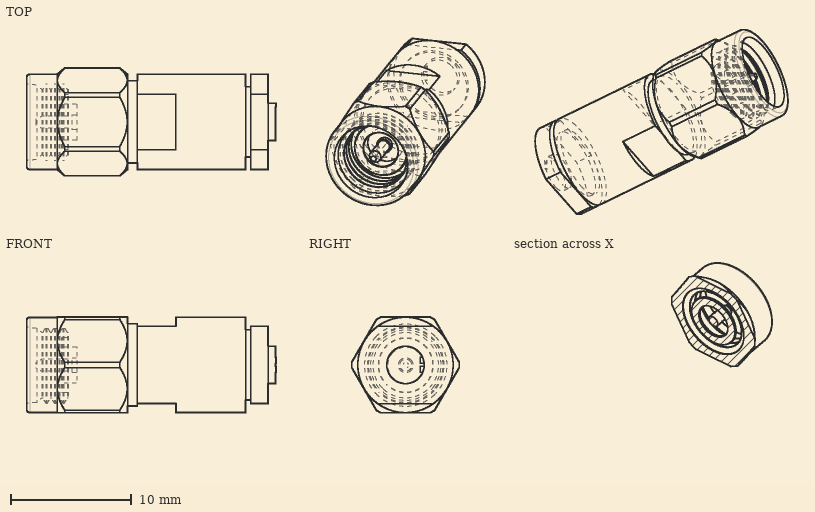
import cadquery as cq
import math

lip_fillet = 0.27
hex_start = 2.52
hex_end = 8.35
body_start = 9.15
wrench_flat_end = 12.35
body_end = 18.1
collar_start = 18.52
collar_end = 19.97
cable_end = 20.59
overall_length = 20.65

pad_inner_edge = 1.24
pad_gap = 0.25
pad_width = 0.5

hex_across_flats = 7.93
hex_across_corners = 8.92
hex_chamfer_length = 0.65
barrel_radius = 3.95
neck_radius = 3.4
groove_radius = 2.91
cable_radius = 1.55
flat_half_height = 3.2

mouth_radius = 3.15
mouth_taper_radius = 3.08
mouth_taper_end = 0.85
thread_start = 1.24
thread_pitch = 0.7
thread_turns = 3
thread_crest_radius = 2.7
thread_crest_width = 0.08
thread_depth = 0.45
thread_flank_angle = 30
socket_floor = thread_start + thread_turns * thread_pitch + thread_crest_width

tube_front = 2.85
tube_outer_radius = 2.27
tube_inner_radius = 1.49
tube_edge_chamfer = 0.05
tube_floor = 4.13

pin_tip_start = 0.75
pin_tip_end = 1.24
pin_tip_radius = 0.23
pin_radius = 0.5
pin_base_radius = 0.61
pin_base_start = 3.72


def turned(points):
    """Solid of revolution about X from an outline of (x, radius) points."""
    return cq.Workplane("XY").polyline(points).close().revolve(360, (0, 0, 0), (1, 0, 0))


def cylinder(start, end, radius):
    return turned([(start, 0), (end, 0), (end, radius), (start, radius)])


def coupling_nut():
    barrel = cylinder(0, hex_end, barrel_radius).faces("<X").edges().fillet(lip_fillet)
    hexagon = (
        cq.Workplane("YZ", origin=(hex_start, 0, 0))
        .polygon(6, hex_across_flats / math.cos(math.pi / 6))
        .extrude(hex_end - hex_start)
    )
    corner_radius = hex_across_corners / 2
    corner_trim = turned([
        (hex_start, 0),
        (hex_start, barrel_radius),
        (hex_start + hex_chamfer_length, corner_radius),
        (hex_end - hex_chamfer_length, corner_radius),
        (hex_end, barrel_radius),
        (hex_end, 0),
    ])
    return barrel.union(hexagon.intersect(corner_trim))


def flatted_cylinder(start, end, flat_end):
    """Cylinder with two flats, above and below, reaching from its start to flat_end."""
    solid = cylinder(start, end, barrel_radius)
    cutter_depth = barrel_radius - flat_half_height
    cutter_centre = flat_half_height + cutter_depth / 2
    cutter = cq.Workplane("XY").box(
        flat_end - start, 2 * barrel_radius, cutter_depth, centered=(False, True, True)
    )
    for side in (1, -1):
        solid = solid.cut(cutter.translate((start, 0, side * cutter_centre)))
    return solid


def socket():
    """Hollow in the mouth of the nut, with its thread modelled as parallel grooves."""
    flank_length = thread_depth * math.tan(math.radians(thread_flank_angle))
    root_radius = thread_crest_radius + thread_depth
    outline = [
        (0, 0),
        (0, mouth_radius),
        (mouth_taper_end, mouth_taper_radius),
        (thread_start, thread_crest_radius),
    ]
    for turn in range(thread_turns):
        groove_start = thread_start + turn * thread_pitch + thread_crest_width
        groove_end = thread_start + (turn + 1) * thread_pitch
        outline += [
            (groove_start, thread_crest_radius),
            (groove_start + flank_length, root_radius),
            (groove_end - flank_length, root_radius),
            (groove_end, thread_crest_radius),
        ]
    outline += [
        (socket_floor, thread_crest_radius),
        (socket_floor, 0),
    ]
    return turned(outline)


def contact_tube():
    """Solid tube blank with its outer front edge chamfered."""
    return cylinder(tube_front, hex_end, tube_outer_radius).faces("<X").edges().chamfer(tube_edge_chamfer)


def tube_bore():
    """Blind bore of the contact tube, widened by a chamfer at its front."""
    return turned([
        (tube_front, 0),
        (tube_front, tube_inner_radius + tube_edge_chamfer),
        (tube_front + tube_edge_chamfer, tube_inner_radius),
        (tube_floor, tube_inner_radius),
        (tube_floor, 0),
    ])


def centre_pin():
    return turned([
        (pin_tip_start, 0),
        (pin_tip_start, pin_tip_radius),
        (pin_tip_end, pin_radius),
        (pin_base_start, pin_radius),
        (pin_base_start, pin_base_radius),
        (hex_end, pin_base_radius),
        (hex_end, 0),
    ])


def cable_end_pads():
    """Two thin pads near the +Y rim of the cable end, trimmed by its outline."""
    pads = (
        cq.Workplane("YZ", origin=(cable_end, (pad_inner_edge + cable_radius) / 2, 0))
        .pushPoints([(0, side * (pad_gap + pad_width) / 2) for side in (1, -1)])
        .rect(cable_radius - pad_inner_edge, pad_width)
        .extrude(overall_length - cable_end)
    )
    return pads.intersect(cylinder(cable_end, overall_length, cable_radius))


result = (
    coupling_nut()
    .union(cylinder(hex_end, body_start, neck_radius))
    .union(flatted_cylinder(body_start, body_end, wrench_flat_end))
    .union(cylinder(body_end, collar_start, groove_radius))
    .union(flatted_cylinder(collar_start, collar_end, collar_end))
    .union(cylinder(collar_end, cable_end, cable_radius))
    .union(cable_end_pads())
    .cut(socket())
    .union(contact_tube())
    .cut(tube_bore())
    .union(centre_pin())
)